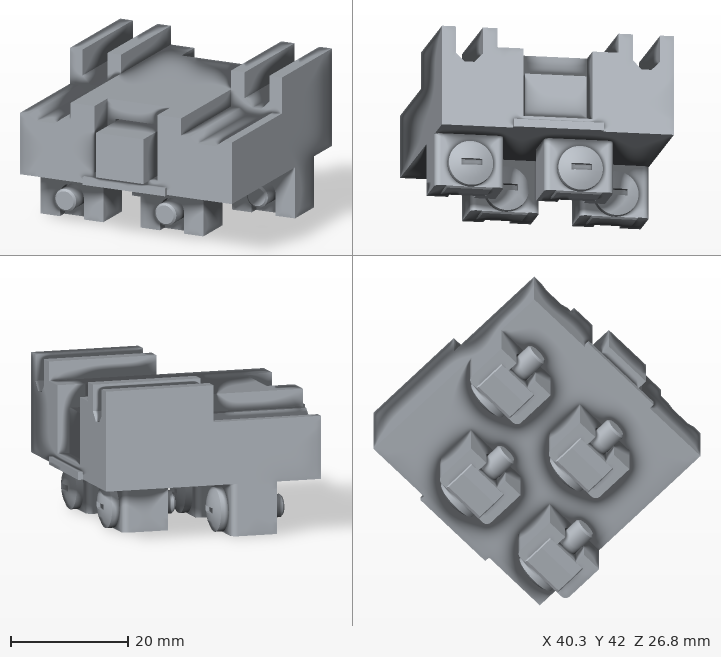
import cadquery as cq

HOUSING_X = 40.3
HOUSING_Y = 38.7
HOUSING_TOP = 17.35
DECK_TOP = 14.0
SHELF_TOP = 10.95
HALF_Y = HOUSING_Y / 2

RAIL_WIDTH = 9.65
CHANNEL_LEFT = 2.4
CHANNEL_RIGHT = 7.1
CHANNEL_BEVEL = 1.5
CHANNEL_FLOOR = 11.25
GROOVE_FLOOR = 9.9
GROOVE_INSET = 1.7
GROOVE_BEVEL = 1.35

NOTCH_WIDTH = 12.0
NOTCH_DEPTH = 5.05
NOTCH_FLOOR = 2.15
WINDOW_TOP = 10.6
FLANGE_WIDTH = 15.7
FLANGE_OUT = 0.9
FLANGE_HEIGHT = 1.35

SLIDER_WIDTH = 9.0
SLIDER_TOP = 10.1
SLIDER_OUT = 2.4
SLIDER_HEAD_WIDTH = 10.65
SLIDER_HEAD_LENGTH = 3.05

LEG_WIDTH = 11.95
LEG_LENGTH = 8.1
LEG_HEIGHT = 9.1
LEG_FILLET = 1.0
LEG_FRONT_WALL = 1.95
SLOT_WIDTH = 4.55
FRONT_ROW_Y = -11.45
ROW_SPACING = 16.5
REAR_ROW_Y = FRONT_ROW_Y + ROW_SPACING
OUTER_LEG_X = (HOUSING_X - LEG_WIDTH) / 2
INNER_LEG_X = 4.88
TERMINALS = [
    (-OUTER_LEG_X, FRONT_ROW_Y),
    (INNER_LEG_X, FRONT_ROW_Y),
    (-INNER_LEG_X, REAR_ROW_Y),
    (OUTER_LEG_X, REAR_ROW_Y),
]

SCREW_Z = -5.3
CLAMP_WIDTH = 8.0
CLAMP_BOTTOM = -9.4
CLAMP_TOP = 2 * SCREW_Z - CLAMP_BOTTOM
CLAMP_LENGTH = LEG_LENGTH - LEG_FRONT_WALL
CLAMP_RAMP_LENGTH = 2.2
CLAMP_RAMP_RISE = 0.2
CLAMP_REAR_BEVEL = 0.5
CLAMP_SIDE_CHAMFER = 0.2

SHANK_DIAMETER = 4.0
TIP_DIAMETER = 3.3
TIP_LENGTH = 0.35
SHANK_OUT = 2.75
HEAD_DIAMETER = 7.7
HEAD_RIM = 1.3
DOME_HEIGHT = 1.1
DRIVE_LENGTH = 3.6
DRIVE_WIDTH = 1.1
DRIVE_DEPTH = 1.0


def box(x_range, y_range, z_range):
    """Axis-aligned box from its limits."""
    (x0, x1), (y0, y1), (z0, z1) = x_range, y_range, z_range
    return cq.Workplane("XY").box(x1 - x0, y1 - y0, z1 - z0, centered=False).translate((x0, y0, z0))


def centred(width):
    """Limits of a width centred on zero."""
    return (-width / 2, width / 2)


def prism_along_y(points, y_start, y_end):
    """Extrude an XZ outline from y_start to y_end."""
    return cq.Workplane("XZ", origin=(0, y_end, 0)).polyline(points).close().extrude(y_end - y_start)


def rail():
    """Left side rail: tall channel at the rear, grooved shelf at the front."""
    left = -HOUSING_X / 2
    right = left + RAIL_WIDTH
    channel_left = left + CHANNEL_LEFT
    channel_right = left + CHANNEL_RIGHT
    bevel_top = CHANNEL_FLOOR + CHANNEL_BEVEL
    rear_half = prism_along_y(
        [
            (left, 0),
            (right, 0),
            (right, HOUSING_TOP),
            (channel_right, HOUSING_TOP),
            (channel_right, bevel_top),
            (channel_right - CHANNEL_BEVEL, CHANNEL_FLOOR),
            (channel_left + CHANNEL_BEVEL, CHANNEL_FLOOR),
            (channel_left, bevel_top),
            (channel_left, HOUSING_TOP),
            (left, HOUSING_TOP),
        ],
        0,
        HALF_Y,
    )
    groove_left = left + GROOVE_INSET
    groove_right = right - GROOVE_INSET
    front_half = prism_along_y(
        [
            (left, 0),
            (right, 0),
            (right, SHELF_TOP),
            (groove_right, SHELF_TOP),
            (groove_right - GROOVE_BEVEL, GROOVE_FLOOR),
            (groove_left + GROOVE_BEVEL, GROOVE_FLOOR),
            (groove_left, SHELF_TOP),
            (left, SHELF_TOP),
        ],
        -HALF_Y,
        0,
    )
    return rear_half.union(front_half)


def leg(x, front_y):
    """Terminal leg under the housing, with rounded rear corners."""
    block = box(centred(LEG_WIDTH), (0, LEG_LENGTH), (-LEG_HEIGHT, 0))
    return block.edges("|Z and >Y").fillet(LEG_FILLET).translate((x, front_y, 0))


def screw_slot(x, front_y):
    """Round-topped slot through the front wall of a leg, open at the bottom."""
    radius = SLOT_WIDTH / 2
    slot = (
        cq.Workplane("XZ", origin=(0, LEG_FRONT_WALL, 0))
        .moveTo(-radius, -LEG_HEIGHT)
        .lineTo(-radius, SCREW_Z)
        .threePointArc((0, SCREW_Z + radius), (radius, SCREW_Z))
        .lineTo(radius, -LEG_HEIGHT)
        .close()
        .extrude(LEG_FRONT_WALL)
    )
    return slot.translate((x, front_y, 0))


def clamp_pocket(x, front_y):
    """Pocket for a clamp, open at the bottom and rear of a leg."""
    pocket = box(centred(CLAMP_WIDTH), (LEG_FRONT_WALL, LEG_LENGTH), (CLAMP_BOTTOM, CLAMP_TOP))
    return pocket.translate((x, front_y, 0))


def make_housing():
    body = box(centred(HOUSING_X - 2 * RAIL_WIDTH), centred(HOUSING_Y), (0, DECK_TOP))
    left_rail = rail()
    body = body.union(left_rail).union(left_rail.mirror("YZ"))
    body = body.union(box(centred(FLANGE_WIDTH), centred(HOUSING_Y + 2 * FLANGE_OUT), (0, FLANGE_HEIGHT)))
    for notch_y in [(-HALF_Y, NOTCH_DEPTH - HALF_Y), (HALF_Y - NOTCH_DEPTH, HALF_Y)]:
        body = body.cut(box(centred(NOTCH_WIDTH), notch_y, (NOTCH_FLOOR, DECK_TOP)))
    body = body.cut(box(centred(SLIDER_WIDTH), centred(HOUSING_Y), (NOTCH_FLOOR, WINDOW_TOP)))
    for x, front_y in TERMINALS:
        body = body.union(leg(x, front_y))
    for x, front_y in TERMINALS:
        body = body.cut(clamp_pocket(x, front_y)).cut(screw_slot(x, front_y))
    return body


def make_slider():
    """Bar through the window, with a wider head in the rear notch."""
    height = (NOTCH_FLOOR, SLIDER_TOP)
    head_front = HALF_Y - NOTCH_DEPTH
    bar = box(centred(SLIDER_WIDTH), (-HALF_Y - SLIDER_OUT, head_front), height)
    head = box(centred(SLIDER_HEAD_WIDTH), (head_front, head_front + SLIDER_HEAD_LENGTH), height)
    return bar.union(head)


def make_clamp(x, front_y):
    """Clamp block filling the leg pocket and standing slightly below the leg."""
    front = LEG_FRONT_WALL
    rear = LEG_LENGTH
    block = (
        cq.Workplane("YZ", origin=(-CLAMP_WIDTH / 2, 0, 0))
        .moveTo(front, CLAMP_TOP)
        .lineTo(front, CLAMP_BOTTOM + CLAMP_RAMP_RISE)
        .lineTo(front + CLAMP_RAMP_LENGTH, CLAMP_BOTTOM)
        .lineTo(rear - CLAMP_REAR_BEVEL, CLAMP_BOTTOM)
        .lineTo(rear, CLAMP_BOTTOM + CLAMP_REAR_BEVEL / 2)
        .lineTo(rear, CLAMP_TOP)
        .close()
        .extrude(CLAMP_WIDTH)
    )
    block = block.faces("<Z").edges("|Y").chamfer(CLAMP_SIDE_CHAMFER)
    hole = (
        cq.Workplane("XZ", origin=(0, rear, SCREW_Z))
        .circle(SHANK_DIAMETER / 2)
        .extrude(CLAMP_LENGTH)
    )
    return block.cut(hole).translate((x, front_y, 0))


def make_screw(x, front_y):
    """Domed screw whose head bears on the rear of the clamp."""
    head_radius = HEAD_DIAMETER / 2
    rim_end = LEG_LENGTH + HEAD_RIM
    dome_end = rim_end + DOME_HEIGHT
    dome_radius = (head_radius**2 + DOME_HEIGHT**2) / (2 * DOME_HEIGHT)
    middle_radius = head_radius / 2
    middle_y = dome_end - dome_radius + (dome_radius**2 - middle_radius**2) ** 0.5
    body = (
        cq.Workplane("XY")
        .moveTo(0, -SHANK_OUT)
        .lineTo(TIP_DIAMETER / 2, -SHANK_OUT)
        .lineTo(SHANK_DIAMETER / 2, TIP_LENGTH - SHANK_OUT)
        .lineTo(SHANK_DIAMETER / 2, LEG_LENGTH)
        .lineTo(head_radius, LEG_LENGTH)
        .lineTo(head_radius, rim_end)
        .threePointArc((middle_radius, middle_y), (0, dome_end))
        .close()
        .revolve(360, (0, 0, 0), (0, 1, 0))
    )
    drive = box(centred(DRIVE_LENGTH), (dome_end - DRIVE_DEPTH, dome_end), centred(DRIVE_WIDTH))
    return body.cut(drive).translate((x, front_y, SCREW_Z))


housing = make_housing()
slider = make_slider()
clamps = [make_clamp(x, front_y) for x, front_y in TERMINALS]
screws = [make_screw(x, front_y) for x, front_y in TERMINALS]

result = cq.Compound.makeCompound(
    [
        housing.val(),
        slider.val(),
        *[clamp.val() for clamp in clamps],
        *[screw.val() for screw in screws],
    ]
)